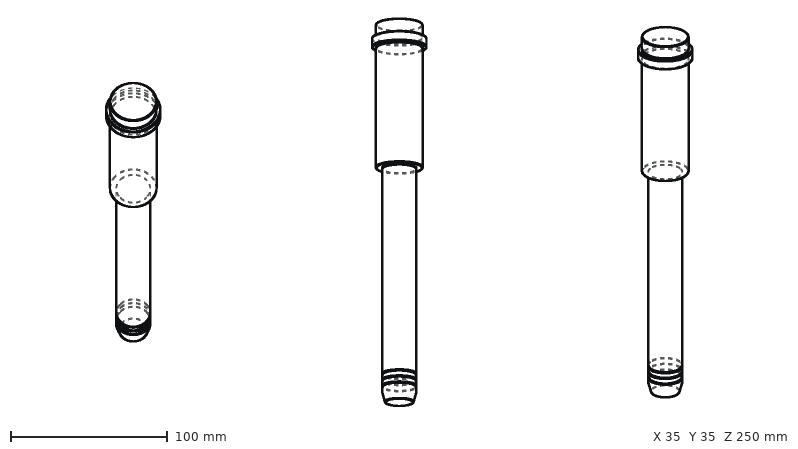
import cadquery as cq

total_length = 250.0
shank_length = 155.0
collar_bottom = 234.8
collar_top = 241.0
tip_length = 7.0

body_diameter = 30.0
collar_diameter = 35.0
shank_diameter = 22.0
tip_diameter = 18.5

edge_chamfer = 0.5

relief_width = 0.8

groove_count = 3
groove_pitch = 4.0
groove_width = 1.0
lowest_groove = 10.5


def cylinder(diameter, bottom, top):
    return cq.Workplane("XY").workplane(offset=bottom).circle(diameter / 2).extrude(top - bottom)


def break_rims(solid):
    """Chamfer the top and bottom rims of a cylinder."""
    return solid.faces("<Z or >Z").chamfer(edge_chamfer)


def make_shank():
    """Straight guiding shank with a conical, chamfered tip."""
    shank_radius = shank_diameter / 2
    tip_radius = tip_diameter / 2
    profile = (
        cq.Workplane("XZ")
        .lineTo(tip_radius - edge_chamfer, 0)
        .lineTo(tip_radius, edge_chamfer)
        .lineTo(shank_radius, tip_length)
        .lineTo(shank_radius, shank_length)
        .lineTo(0, shank_length)
        .close()
    )
    return profile.revolve(360, (0, 0, 0), (0, 1, 0))


def v_groove(surface_diameter, bottom, width):
    """Ring with a 90 degree V section, cutting half its width deep into a cylinder."""
    surface_radius = surface_diameter / 2
    section = (
        cq.Workplane("XZ")
        .moveTo(surface_radius, bottom)
        .lineTo(surface_radius - width / 2, bottom + width / 2)
        .lineTo(surface_radius, bottom + width)
        .close()
    )
    return section.revolve(360, (0, 0, 0), (0, 1, 0))


body = break_rims(cylinder(body_diameter, shank_length, total_length))
collar = break_rims(cylinder(collar_diameter, collar_bottom, collar_top))
part = make_shank().union(body).union(collar)

part = part.cut(v_groove(body_diameter, collar_top, relief_width))
part = part.cut(v_groove(body_diameter, collar_bottom - relief_width, relief_width))
part = part.cut(v_groove(shank_diameter, shank_length - relief_width, relief_width))

for index in range(groove_count):
    groove_middle = lowest_groove + index * groove_pitch
    part = part.cut(v_groove(shank_diameter, groove_middle - groove_width / 2, groove_width))

result = part.solids()